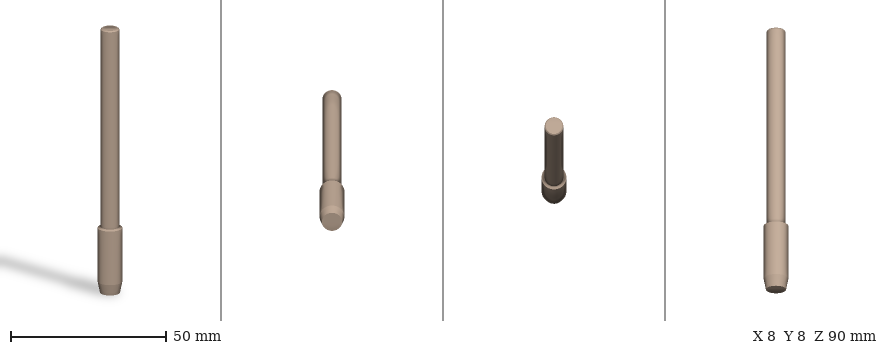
import cadquery as cq

total_length = 90.0
sleeve_diameter = 8.0
sleeve_length = 22.4
rod_diameter = 6.0

rod_chamfer_width = 0.4
rod_chamfer_height = 0.4
shoulder_height = 0.4
taper_length = 3.8
taper_bottom_diameter = 6.5

sleeve_radius = sleeve_diameter / 2
rod_radius = rod_diameter / 2


def revolve_profile(points):
    """Turn a closed (radius, height) outline once around the Z axis."""
    return cq.Workplane("XZ").polyline(points).close().revolve(360, (0, 0, 0), (0, 1, 0))


def make_rod():
    """Round rod with a chamfered top, seated on the floor of the sleeve bore."""
    return revolve_profile([
        (0, taper_length),
        (rod_radius, taper_length),
        (rod_radius, total_length - rod_chamfer_height),
        (rod_radius - rod_chamfer_width, total_length),
        (0, total_length),
    ])


def make_sleeve():
    """Sleeve with a blind bore, a sloping top shoulder and a tapered solid tip."""
    return revolve_profile([
        (0, 0),
        (taper_bottom_diameter / 2, 0),
        (sleeve_radius, taper_length),
        (sleeve_radius, sleeve_length - shoulder_height),
        (rod_radius, sleeve_length),
        (rod_radius, taper_length),
        (0, taper_length),
    ])


rod = make_rod()
sleeve = make_sleeve()
result = cq.Compound.makeCompound([rod.val(), sleeve.val()])